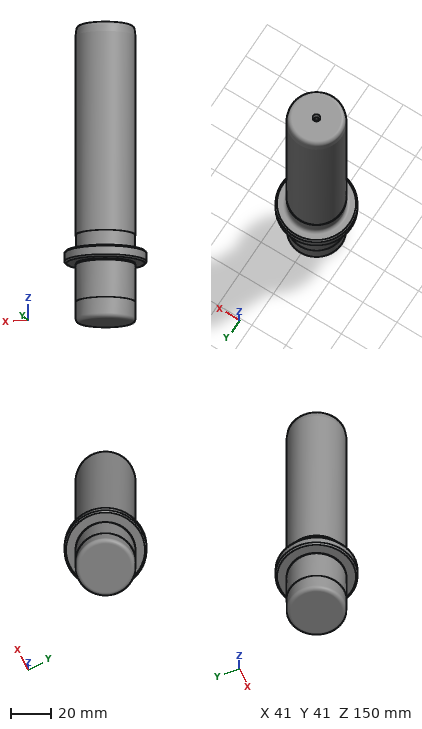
import cadquery as cq
import math

total_height = 150.0
flange_bottom = 30.0
flange_top = 36.0
bearing_bottom = 44.2
lead_bottom = 144.8
pilot_top = 10.4

body_radius = 15.0
neck_radius = 14.7
lead_top_diameter = 29.2
lead_top_radius = lead_top_diameter / 2
pilot_diameter = 29.8
pilot_radius = pilot_diameter / 2
flange_diameter = 41.0
flange_radius = flange_diameter / 2

top_round = 2.2
bottom_round = 2.1
neck_fillet = 2.0
flange_chamfer = 0.9
undercut_height = 0.9
undercut_bevel = body_radius - neck_radius

countersink_radius = 2.0
center_hole_radius = 1.0
center_hole_depth = 6.0
countersink_depth = (countersink_radius - center_hole_radius) * math.sqrt(3)


def arc_point(center_x, center_z, radius, angle):
    """Point on an arc, with the angle in degrees from the outward radial direction."""
    turn = math.radians(angle)
    return (center_x + radius * math.cos(turn), center_z + radius * math.sin(turn))


def make_pillar():
    """Revolve the stepped half profile, with its tapered lead-in, about Z."""
    undercut_bottom = flange_bottom - undercut_height
    flange_face_radius = flange_radius - flange_chamfer
    bottom_mid = arc_point(pilot_radius - bottom_round, bottom_round, bottom_round, -45)
    fillet_mid = arc_point(neck_radius + neck_fillet, flange_top + neck_fillet, neck_fillet, 225)
    top_mid = arc_point(lead_top_radius - top_round, total_height - top_round, top_round, 45)
    profile = (
        cq.Workplane("XZ")
        .lineTo(pilot_radius - bottom_round, 0)
        .threePointArc(bottom_mid, (pilot_radius, bottom_round))
        .lineTo(pilot_radius, pilot_top)
        .lineTo(body_radius, pilot_top)
        .lineTo(body_radius, undercut_bottom)
        .lineTo(neck_radius, undercut_bottom + undercut_bevel)
        .lineTo(neck_radius, flange_bottom)
        .lineTo(flange_face_radius, flange_bottom)
        .lineTo(flange_radius, flange_bottom + flange_chamfer)
        .lineTo(flange_radius, flange_top - flange_chamfer)
        .lineTo(flange_face_radius, flange_top)
        .lineTo(neck_radius + neck_fillet, flange_top)
        .threePointArc(fillet_mid, (neck_radius, flange_top + neck_fillet))
        .lineTo(neck_radius, bearing_bottom)
        .lineTo(body_radius, bearing_bottom)
        .lineTo(body_radius, lead_bottom)
        .lineTo(lead_top_radius, total_height - top_round)
        .threePointArc(top_mid, (lead_top_radius - top_round, total_height))
        .lineTo(0, total_height)
        .close()
    )
    return profile.revolve(360, (0, 0, 0), (0, 1, 0))


def make_center_hole():
    """Straight blind hole with a 60 degree countersink at its mouth."""
    hole_bottom = total_height - center_hole_depth
    profile = (
        cq.Workplane("XZ")
        .moveTo(0, hole_bottom)
        .lineTo(center_hole_radius, hole_bottom)
        .lineTo(center_hole_radius, total_height - countersink_depth)
        .lineTo(countersink_radius, total_height)
        .lineTo(0, total_height)
        .close()
    )
    return profile.revolve(360, (0, 0, 0), (0, 1, 0))


result = make_pillar().cut(make_center_hole())